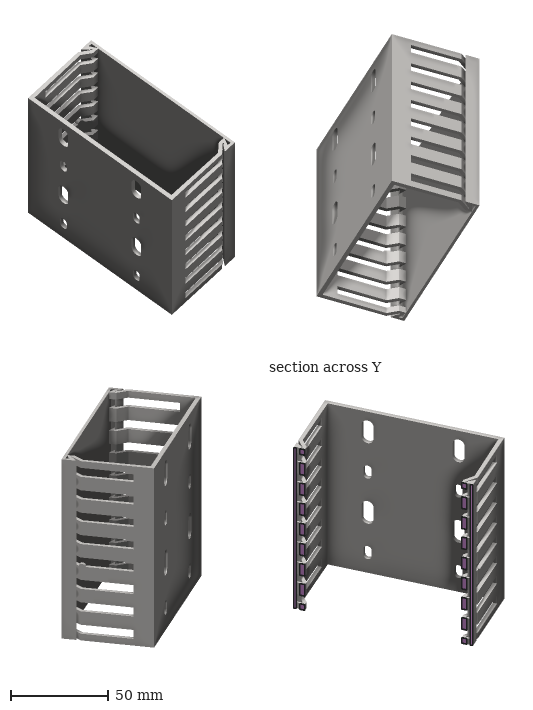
import cadquery as cq

LENGTH = 100.0
WIDTH = 98.5
DEPTH = 49.1
HALF_WIDTH = WIDTH / 2
COVER_FACE_Y = DEPTH / 2
BASE_FACE_Y = -DEPTH / 2

COVER_WALL = 1.6
LIP_LEDGE_DROP = 4.2
LIP_REACH = 3.6
LIP_END_HEIGHT = 0.8
LIP_TIP_DROP = 7.8

FLOOR = 2.4
WALL_AT_FLOOR = 2.4
WALL_AT_BEND = 2.1
BEND_DROP_OUTSIDE = 10.1
BEND_DROP_INSIDE = 10.8
HOOK_INNER_REACH = 6.2
HOOK_THROAT_REACH = 4.6
HOOK_TOP_REACH = 5.9
HOOK_NOSE_DROP = 3.7
HOOK_INNER_DROP = 5.5

SLOT_COUNT = 8
SLOT_PITCH = LENGTH / SLOT_COUNT
SLOT_HEIGHT = 5.0
SLOT_FIRST_Z = SLOT_PITCH / 2
SLOT_FLOOR_GAP = 10.8

BUMP_RADIUS = 2.0
BUMP_DROP = 10.8
BUMP_SLOT = 3
BUMP_SINK = 0.6

HOLE_COLUMN_X = 25.0
HOLE_PITCH = 50.0
HOLE_ROWS = 2
LARGE_HOLE_WIDTH = 6.5
LARGE_HOLE_LENGTH = 14.0
LARGE_HOLE_FIRST_Z = 37.5
SMALL_HOLE_WIDTH = 4.5
SMALL_HOLE_LENGTH = 8.0
SMALL_HOLE_FIRST_Z = 12.5


def extrude_symmetric(left_outline):
    """Extrude the outline closed by its mirror image; points are (inset, drop) from the -X cover corner."""
    left = [(inset - HALF_WIDTH, COVER_FACE_Y - drop) for inset, drop in left_outline]
    right = [(-x, y) for x, y in reversed(left)]
    return cq.Workplane("XY").polyline(left + right).close().extrude(LENGTH)


def make_cover():
    return extrude_symmetric([
        (0, 0),
        (0, LIP_TIP_DROP),
        (LIP_REACH, LIP_LEDGE_DROP + LIP_END_HEIGHT),
        (LIP_REACH, LIP_LEDGE_DROP),
        (COVER_WALL, LIP_LEDGE_DROP),
        (COVER_WALL, COVER_WALL),
    ])


def base_channel():
    return extrude_symmetric([
        (0, DEPTH),
        (0, BEND_DROP_OUTSIDE),
        (HOOK_THROAT_REACH, LIP_LEDGE_DROP),
        (COVER_WALL, LIP_LEDGE_DROP),
        (COVER_WALL, HOOK_NOSE_DROP),
        (HOOK_TOP_REACH, COVER_WALL),
        (HOOK_INNER_REACH, COVER_WALL),
        (HOOK_INNER_REACH, HOOK_INNER_DROP),
        (WALL_AT_BEND, BEND_DROP_INSIDE),
        (WALL_AT_FLOOR, DEPTH - FLOOR),
    ])


def wall_slots():
    """Bars across both side walls, open through the hooks."""
    slot_centres = [(0, SLOT_FIRST_Z + i * SLOT_PITCH) for i in range(SLOT_COUNT)]
    return (
        cq.Workplane("XZ", origin=(0, COVER_FACE_Y, 0))
        .pushPoints(slot_centres)
        .rect(WIDTH, SLOT_HEIGHT)
        .extrude(DEPTH - SLOT_FLOOR_GAP)
    )


def finger_bump(channel):
    """Part of the -X wall left standing inside a slot, rounded about an axis along X."""
    edge_z = SLOT_FIRST_Z + BUMP_SLOT * SLOT_PITCH - SLOT_HEIGHT / 2
    cylinder = (
        cq.Workplane("YZ", origin=(-HALF_WIDTH, 0, 0))
        .center(COVER_FACE_Y - BUMP_DROP, edge_z - BUMP_SINK)
        .circle(BUMP_RADIUS)
        .extrude(HOOK_INNER_REACH)
    )
    return channel.intersect(cylinder)


def floor_holes(width, length, first_z):
    centres = [
        (x, first_z + row * HOLE_PITCH)
        for x in (-HOLE_COLUMN_X, HOLE_COLUMN_X)
        for row in range(HOLE_ROWS)
    ]
    return (
        cq.Workplane("XZ", origin=(0, BASE_FACE_Y + FLOOR, 0))
        .pushPoints(centres)
        .slot2D(length, width, 90)
        .extrude(FLOOR)
    )


def make_base():
    channel = base_channel()
    return (
        channel.cut(wall_slots())
        .union(finger_bump(channel))
        .cut(floor_holes(LARGE_HOLE_WIDTH, LARGE_HOLE_LENGTH, LARGE_HOLE_FIRST_Z))
        .cut(floor_holes(SMALL_HOLE_WIDTH, SMALL_HOLE_LENGTH, SMALL_HOLE_FIRST_Z))
    )


cover = make_cover()
base = make_base()
result = cq.Compound.makeCompound([cover.val(), base.solids().val()])